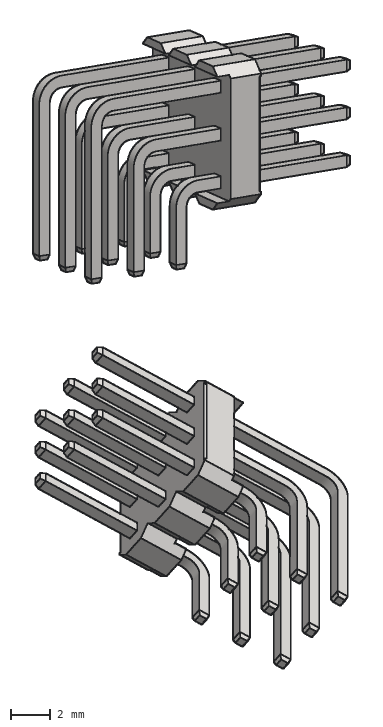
import cadquery as cq

PITCH = 2.54
COLUMNS = 3
ROWS = 3
OVERALL_LENGTH = 15.58
OVERALL_HEIGHT = 10.63

HOUSING_WIDTH = COLUMNS * PITCH
HOUSING_HEIGHT = ROWS * PITCH
HOUSING_DEPTH = 1.82
LIP_REACH = 0.7
LIP_THICKNESS = 0.45
BEVEL = 0.6
EDGE_RELIEF = 0.11
EDGE_RELIEF_MARGIN = 0.11

PIN_SIZE = 0.64
PIN_BACK_LENGTH = 5.98
BEND_RADIUS = 1.34
TIP_LENGTH = 0.28
TIP_SIZE = 0.45

BACK_END_Y = PIN_BACK_LENGTH
LONGEST_PIN_Y = BACK_END_Y - OVERALL_LENGTH
LEG_END_Z = HOUSING_HEIGHT / 2 - OVERALL_HEIGHT


def column_profile(x):
    """One column of the housing seen along Y: a tall octagon."""
    half_width = PITCH / 2
    half_flat = half_width - BEVEL
    half_height = HOUSING_HEIGHT / 2
    shoulder = half_height - BEVEL
    corners = [
        (half_flat, half_height),
        (half_width, shoulder),
        (half_width, -shoulder),
        (half_flat, -half_height),
        (-half_flat, -half_height),
        (-half_width, -shoulder),
        (-half_width, shoulder),
        (-half_flat, half_height),
    ]
    return cq.Workplane("XZ").center(x, 0).polyline(corners).close()


def edge_relief():
    """Cutter for the -X upright back edge: a 45 degree bevel with sloping ends."""
    bevel = (
        cq.Workplane("XY")
        .polyline([(0, 0), (EDGE_RELIEF, 0), (0, -EDGE_RELIEF)])
        .close()
        .extrude(HOUSING_HEIGHT / 2, both=True)
    )
    long_half = HOUSING_HEIGHT / 2 - BEVEL - EDGE_RELIEF_MARGIN
    short_half = long_half - EDGE_RELIEF
    side = (
        cq.Workplane("YZ")
        .polyline(
            [
                (0, -long_half),
                (0, long_half),
                (-EDGE_RELIEF, short_half),
                (-EDGE_RELIEF, -short_half),
            ]
        )
        .close()
        .extrude(EDGE_RELIEF)
    )
    return bevel.intersect(side).translate((-HOUSING_WIDTH / 2, 0, 0))


def housing(column_positions):
    """Row of octagonal columns, cut back at the front to leave top and bottom lips."""
    depth = HOUSING_DEPTH + LIP_REACH
    body = column_profile(column_positions[0]).extrude(depth)
    for x in column_positions[1:]:
        body = body.union(column_profile(x).extrude(depth))
    front_recess = cq.Workplane("XY").box(
        HOUSING_WIDTH, LIP_REACH, HOUSING_HEIGHT - 2 * LIP_THICKNESS
    )
    body = body.cut(front_recess.translate((0, -HOUSING_DEPTH - LIP_REACH / 2, 0)))
    relief = edge_relief()
    return body.cut(relief).cut(relief.mirror("YZ"))


def tip(plane):
    """Tapered square pin end, starting on the given plane."""
    return (
        cq.Workplane(plane)
        .rect(PIN_SIZE, PIN_SIZE)
        .workplane(offset=TIP_LENGTH)
        .rect(TIP_SIZE, TIP_SIZE)
        .loft()
    )


def pin(x, z, leg_front_y):
    """Right-angle pin at height z, its leg's front face at leg_front_y."""
    half = PIN_SIZE / 2
    shank_end_y = BACK_END_Y - TIP_LENGTH
    leg_end_z = LEG_END_Z + TIP_LENGTH
    leg_y = leg_front_y + half
    bar = (
        cq.Workplane("YZ")
        .moveTo(shank_end_y, z + half)
        .lineTo(leg_front_y, z + half)
        .lineTo(leg_front_y, leg_end_z)
        .lineTo(leg_front_y + PIN_SIZE, leg_end_z)
        .lineTo(leg_front_y + PIN_SIZE, z - half)
        .lineTo(shank_end_y, z - half)
        .close()
        .extrude(half, both=True)
    )
    outer_corner = cq.selectors.NearestToPointSelector((0, leg_front_y, z + half))
    inner_corner = cq.selectors.NearestToPointSelector((0, leg_front_y + PIN_SIZE, z - half))
    bar = bar.edges("|X").edges(outer_corner).fillet(BEND_RADIUS)
    bar = bar.edges("|X").edges(inner_corner).fillet(BEND_RADIUS - PIN_SIZE)
    back_plane = cq.Plane((0, shank_end_y, z), xDir=(1, 0, 0), normal=(0, 1, 0))
    leg_plane = cq.Plane((0, leg_y, leg_end_z), xDir=(1, 0, 0), normal=(0, 0, -1))
    return bar.union(tip(back_plane)).union(tip(leg_plane)).translate((x, 0, 0))


column_xs = [(i - (COLUMNS - 1) / 2) * PITCH for i in range(COLUMNS)]

result = housing(column_xs)
for row in range(ROWS):
    row_z = ((ROWS - 1) / 2 - row) * PITCH
    row_leg_y = LONGEST_PIN_Y + row * PITCH
    for column_x in column_xs:
        result = result.union(pin(column_x, row_z, row_leg_y))